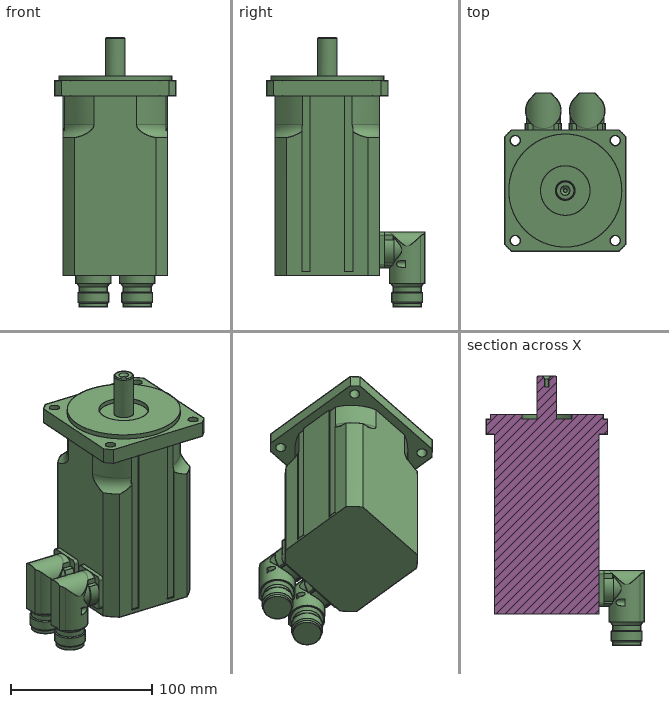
import cadquery as cq
import math


flange_width = 86.0
flange_thickness = 10.9
flange_corner_cut = 5.0
bolt_spacing = 70.7
bolt_hole_diameter = 7.0
pilot_diameter = 80.0
pilot_height = 3.2
recess_diameter = 35.0
recess_depth = 3.0
shaft_diameter = 14.0
shaft_top = 30.5
shaft_chamfer = 0.8
center_cone_diameter = 6.7
center_hole_diameter = 2.7
center_cone_depth = (center_cone_diameter - center_hole_diameter) / 2
center_hole_depth = 7.6

housing_width = 74.1
housing_length = 127.0
housing_corner_radius = 46.9
housing_top = -flange_thickness
housing_bottom = housing_top - housing_length
relief_radius = pilot_diameter / 2
relief_length = 20.4
relief_fillet = 9.5
groove_width = 6.0
groove_depth = 1.1
groove_offset = 15.0
groove_end_gap = 2.9

connector_spacing = 31.0
elbow_radius = 12.5
total_depth = 112.0
elbow_axis_y = total_depth - flange_width / 2 - elbow_radius
elbow_axis_z = housing_bottom + 18.1
elbow_bottom = housing_bottom - 5.5
elbow_back_flat = 11.0
elbow_facet_reach = 9.5
base_width = 25.7
cap_radius = base_width / 2
base_thickness = 3.2
base_corner_radius = 2.5
leg_collar_radius = 12.0
leg_collar_length = 9.1
leg_rib_width = 14.9
leg_web_rise = 6.9
leg_web_drop = 9.3
screw_groove_radius = 2.5
screw_groove_drop = 10.0
screw_groove_start = 1.1
neck_radius = 20.0 / 2
collar_radius = 22.0 / 2
shoulder_radius = 11.6
neck_top = housing_bottom - 8.0
neck_bottom = housing_bottom - 11.6
collar_top = housing_bottom - 12.2
collar_bottom = housing_bottom - 18.7
tip_top = housing_bottom - 19.8
total_height = 190.5
connector_bottom = shaft_top - total_height


def cylinder_z(radius, bottom, top):
    return cq.Workplane("XY").workplane(offset=bottom).circle(radius).extrude(top - bottom)


def cylinder_y(radius, start, end):
    """Cylinder along +Y on the horizontal axis of the connector."""
    return (
        cq.Workplane("XZ", origin=(0, start, elbow_axis_z))
        .circle(radius)
        .extrude(start - end)
    )


def box_between(x_range, y_range, z_range):
    spans = [high - low for low, high in (x_range, y_range, z_range)]
    corner = (x_range[0], y_range[0], z_range[0])
    return cq.Workplane("XY").box(*spans, centered=False).translate(corner)


def make_housing_block():
    block = (
        cq.Workplane("XY")
        .workplane(offset=housing_bottom)
        .rect(housing_width, housing_width)
        .extrude(housing_length)
    )
    block = block.intersect(cylinder_z(housing_corner_radius, housing_bottom, housing_top))
    return block.cut(make_corner_relief()).cut(make_side_grooves())


def make_corner_relief():
    """Ring that turns the four corners down below the flange, ending in a concave fillet."""
    outer = relief_radius + relief_fillet
    fillet_start = housing_top - relief_length
    arc_reach = relief_fillet * math.sqrt(0.5)
    return (
        cq.Workplane("XZ")
        .moveTo(relief_radius, housing_top)
        .lineTo(outer, housing_top)
        .lineTo(outer, fillet_start - relief_fillet)
        .threePointArc((outer - arc_reach, fillet_start - arc_reach), (relief_radius, fillet_start))
        .close()
        .revolve(360, (0, 0, 0), (0, 1, 0))
    )


def make_side_grooves():
    """Two shallow vertical grooves on each of the two X faces."""
    bottom = housing_bottom + groove_end_gap
    return (
        cq.Workplane("XY")
        .workplane(offset=bottom)
        .rect(housing_width, 2 * groove_offset, forConstruction=True)
        .vertices()
        .rect(2 * groove_depth, groove_width)
        .extrude(housing_top - bottom)
    )


def make_flange():
    return (
        cq.Workplane("XY")
        .workplane(offset=housing_top)
        .rect(flange_width, flange_width)
        .extrude(flange_thickness)
        .edges("|Z")
        .chamfer(flange_corner_cut)
        .faces(">Z")
        .workplane()
        .rect(bolt_spacing, bolt_spacing, forConstruction=True)
        .vertices()
        .hole(bolt_hole_diameter)
    )


def make_shaft():
    """Shaft from the recess floor up, with a centre-drilled end."""
    shaft = cylinder_z(shaft_diameter / 2, pilot_height - recess_depth, shaft_top)
    shaft = shaft.faces(">Z").chamfer(shaft_chamfer)
    center_drill = (
        cq.Workplane("XZ")
        .moveTo(0, shaft_top)
        .lineTo(center_cone_diameter / 2, shaft_top)
        .lineTo(center_hole_diameter / 2, shaft_top - center_cone_depth)
        .lineTo(center_hole_diameter / 2, shaft_top - center_hole_depth)
        .lineTo(0, shaft_top - center_hole_depth)
        .close()
        .revolve(360, (0, 0, 0), (0, 1, 0))
    )
    return shaft.cut(center_drill)


def make_motor():
    pilot = cylinder_z(pilot_diameter / 2, 0, pilot_height)
    recess = cylinder_z(recess_diameter / 2, pilot_height - recess_depth, pilot_height)
    body = make_housing_block().union(make_flange()).union(pilot).cut(recess)
    return body.union(make_shaft())


def make_elbow():
    """Upright body, round in front and faceted at the back, under a cylindrical cap."""
    top = elbow_axis_z + cap_radius
    half_flat = elbow_back_flat / 2
    facet_half_width = math.sqrt(elbow_radius**2 - elbow_facet_reach**2)
    upright = (
        cq.Workplane("XY", origin=(0, elbow_axis_y, elbow_bottom))
        .moveTo(-facet_half_width, elbow_facet_reach)
        .lineTo(-half_flat, elbow_radius)
        .lineTo(half_flat, elbow_radius)
        .lineTo(facet_half_width, elbow_facet_reach)
        .threePointArc((0, -elbow_radius), (-facet_half_width, elbow_facet_reach))
        .close()
        .extrude(top - elbow_bottom)
    )
    y_range = (elbow_axis_y - elbow_radius, elbow_axis_y + elbow_radius)
    below_axis = box_between((-cap_radius, cap_radius), y_range, (elbow_bottom, elbow_axis_z))
    arch = cylinder_y(cap_radius, *y_range).union(below_axis)
    return upright.intersect(arch)


def make_leg():
    """Horizontal leg: a round collar, then a wider cylinder with four notched screw corners."""
    base_front = housing_width / 2 + base_thickness
    step_y = elbow_axis_y - leg_collar_length
    collar = cylinder_y(leg_collar_radius, step_y, elbow_axis_y)
    rib = box_between(
        (-leg_rib_width / 2, leg_rib_width / 2),
        (base_front, step_y),
        (elbow_axis_z - cap_radius, elbow_axis_z + cap_radius),
    )
    web = box_between(
        (-cap_radius, cap_radius),
        (base_front, step_y),
        (elbow_axis_z - leg_web_drop, elbow_axis_z + leg_web_rise),
    )
    notched = cylinder_y(cap_radius, base_front, step_y).intersect(rib.union(web))
    return collar.union(notched)


def make_base():
    return (
        cq.Workplane("XZ", origin=(0, housing_width / 2, elbow_axis_z))
        .rect(base_width, base_width)
        .extrude(-base_thickness)
        .edges("|Y")
        .fillet(base_corner_radius)
    )


def make_plug():
    """Turned plug below the elbow: shoulder cone, neck, bevelled collar and tip."""
    return (
        cq.Workplane("XZ")
        .moveTo(0, elbow_bottom)
        .lineTo(shoulder_radius, elbow_bottom)
        .lineTo(neck_radius, neck_top)
        .lineTo(neck_radius, neck_bottom)
        .lineTo(collar_radius, collar_top)
        .lineTo(collar_radius, collar_bottom)
        .lineTo(neck_radius, tip_top)
        .lineTo(neck_radius, connector_bottom)
        .lineTo(0, connector_bottom)
        .close()
        .revolve(360, (0, 0, 0), (0, 1, 0))
        .translate((0, elbow_axis_y, 0))
    )


def make_screw_grooves():
    """Half-round grooves along both flanks of the elbow, open toward the motor."""
    start = elbow_axis_y - screw_groove_start
    groove_z = elbow_axis_z - screw_groove_drop
    return (
        cq.Workplane("XZ", origin=(0, start, groove_z))
        .pushPoints([(-elbow_radius, 0), (elbow_radius, 0)])
        .circle(screw_groove_radius)
        .extrude(elbow_radius)
    )


def make_connector(x):
    elbow = make_elbow().cut(make_screw_grooves())
    connector = elbow.union(make_leg()).union(make_base()).union(make_plug())
    return connector.translate((x, 0, 0))


motor = make_motor().solids().val()
connectors = [make_connector(side * connector_spacing / 2).solids().val() for side in (-1, 1)]

result = cq.Compound.makeCompound([motor, *connectors])